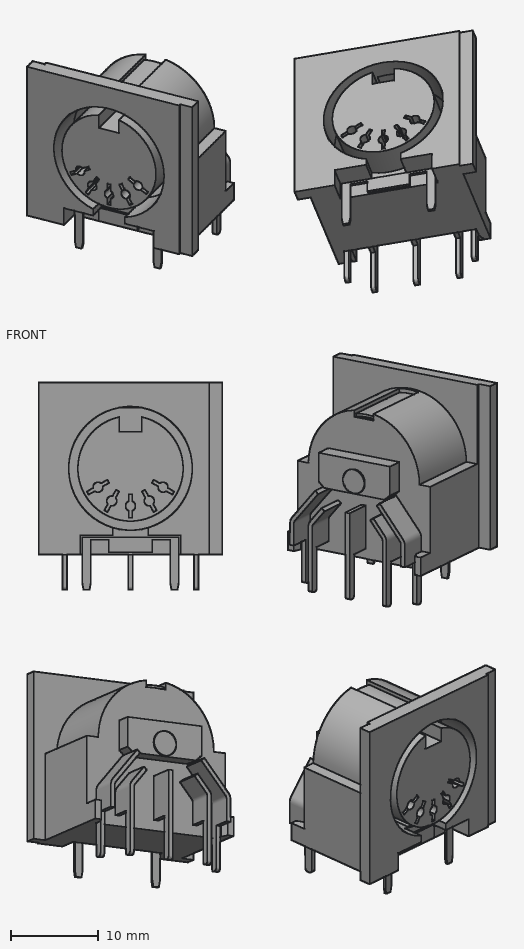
import cadquery as cq
import math


PLATE_WIDTH = 20.9
PLATE_HEIGHT = 19.59
PLATE_DEPTH = 1.85
LEFT_EDGE_DEPTH = 1.46
RIGHT_EDGE_STEP = 0.3

BODY_WIDTH = 17.9
BODY_SIDE_HEIGHT = 10.12
ARCH_RADIUS = 7.48
BODY_REAR = 11.8
REAR_WALL = 0.38

AXIS_HEIGHT = PLATE_HEIGHT / 2
SOCKET_RADIUS = 7.03
PLUG_RADIUS = 6.0
SOCKET_DEPTH = BODY_REAR - REAR_WALL
KEY_WIDTH = 2.55
KEY_FLOOR = 13.95
KEY_WINDOW_FLOOR = 16.7

OPENING_CIRCLE_RADIUS = 4.27
OPENING_ANGLES = [-60, -30, 0, 30, 60]
OPENING_HOLE_RADIUS = 0.57
OPENING_SLOT_LENGTH = 2.7
OPENING_SLOT_WIDTH = 0.4

SHEET = 0.3
SHIELD_FRONT = 2.27
TUBE_FRONT = 4.95
SHIELD_RADIUS = SOCKET_RADIUS + SHEET
BRACKET_WIDTH = 11.0
BRACKET_TOP = 1.98
BRACKET_LEG_WIDTH = 1.0
BRACKET_TAB_WIDTH = 4.95
BRACKET_TAB_BOTTOM = 0.24
LEG_TAPER = 0.15
LEG_TAPER_HEIGHT = 0.75
TONGUE_WIDTH = 2.55
BRACKET_BACK = SHIELD_FRONT + SHEET
NECK_FRONT = BRACKET_BACK + SHEET
NECK_BACK = NECK_FRONT + SHEET

RECESS_WIDTH = 11.47
RECESS_HEIGHT = 2.22
GAP_WIDTH = 4.05

EAR_LENGTH = 2.03
EAR_WIDTH = 1.13
EAR_HEIGHT = 2.22
EAR_CHAMFER_WIDTH = 0.35
EAR_CHAMFER_LENGTH = 0.9
BLOCK_WIDTH = 9.58
BLOCK_TOP = 12.37
BLOCK_SIDE_BOTTOM = 8.9
BLOCK_BOTTOM = 8.28
BLOCK_LENGTH = 2.03
BOSS_RADIUS = 1.45
BOSS_HEIGHT = 0.17

PIN_THICKNESS = 0.52
PIN_REAR = 15.3
PIN_PLATE_BOTTOM = 1.23
PIN_BEND_HEIGHT = 4.25
PIN_SLOPE = 50.0
PIN_BEND_RADIUS = 1.1
PIN_LEG_WIDTH = 1.01
PIN_TIP_RADIUS = 0.38
LEG_LENGTH = 4.01
OUTER_PIN_FACE = 7.75
OUTER_PIN_END = 4.35
INNER_PIN_FACE = 5.26
INNER_PIN_END = 3.47
CENTRE_PIN_THICKNESS = 0.57
CENTRE_PIN_TOP = 6.4


def block(x, y, z):
    """Box from (min, max) pairs along each axis."""
    return cq.Workplane("XY").box(
        x[1] - x[0], y[1] - y[0], z[1] - z[0], centered=False
    ).translate((x[0], y[0], z[0]))


def middle_block(width, y, z):
    """Box centred on the middle plane X = 0."""
    return block((-width / 2, width / 2), y, z)


def cylinder(radius, y, height=AXIS_HEIGHT):
    """Cylinder along Y between the two Y values."""
    return cq.Workplane("XZ", origin=(0, y[0], height)).circle(radius).extrude(y[0] - y[1])


def prism(points, y):
    """X-Z outline extruded between the two Y values."""
    return cq.Workplane("XZ", origin=(0, y[0], 0)).polyline(points).close().extrude(y[0] - y[1])


def make_faceplate():
    half_plate = PLATE_WIDTH / 2
    half_body = BODY_WIDTH / 2
    outline = [
        (-half_plate, 0),
        (half_body, 0),
        (half_body, RIGHT_EDGE_STEP),
        (half_plate, RIGHT_EDGE_STEP),
        (half_plate, PLATE_DEPTH),
        (-half_body, PLATE_DEPTH),
        (-half_body, LEFT_EDGE_DEPTH),
        (-half_plate, LEFT_EDGE_DEPTH),
    ]
    return cq.Workplane("XY").polyline(outline).close().extrude(PLATE_HEIGHT)


def make_body():
    length = (PLATE_DEPTH, BODY_REAR)
    sides = middle_block(BODY_WIDTH, length, (0, BODY_SIDE_HEIGHT))
    arch = cylinder(ARCH_RADIUS, length, BODY_SIDE_HEIGHT)
    return sides.union(arch)


def make_right_ear():
    outside = BODY_WIDTH / 2
    inside = outside - EAR_WIDTH
    rear = BODY_REAR + EAR_LENGTH
    outline = [
        (outside, BODY_REAR),
        (outside, rear),
        (inside + EAR_CHAMFER_WIDTH, rear),
        (inside, rear - EAR_CHAMFER_LENGTH),
        (inside, BODY_REAR),
    ]
    return cq.Workplane("XY").polyline(outline).close().extrude(EAR_HEIGHT)


def make_rear_block():
    half_width = BLOCK_WIDTH / 2
    cut_width = (BLOCK_SIDE_BOTTOM - BLOCK_BOTTOM) * math.tan(math.radians(PIN_SLOPE))
    half_bottom = half_width - cut_width
    outline = [
        (-half_width, BLOCK_TOP),
        (half_width, BLOCK_TOP),
        (half_width, BLOCK_SIDE_BOTTOM),
        (half_bottom, BLOCK_BOTTOM),
        (-half_bottom, BLOCK_BOTTOM),
        (-half_width, BLOCK_SIDE_BOTTOM),
    ]
    rear = BODY_REAR + BLOCK_LENGTH
    boss = cylinder(BOSS_RADIUS, (BODY_REAR, rear + BOSS_HEIGHT))
    return prism(outline, (BODY_REAR, rear)).union(boss)


def make_plug():
    """Core of the socket, with its key slot and contact openings."""
    depth = (0, SOCKET_DEPTH)
    plug = cylinder(PLUG_RADIUS, depth)
    plug = plug.cut(middle_block(KEY_WIDTH, depth, (KEY_FLOOR, PLATE_HEIGHT)))
    opening_height = AXIS_HEIGHT - OPENING_CIRCLE_RADIUS
    slot_height = (
        opening_height - OPENING_SLOT_LENGTH / 2,
        opening_height + OPENING_SLOT_LENGTH / 2,
    )
    opening = cylinder(OPENING_HOLE_RADIUS, depth, opening_height)
    opening = opening.union(middle_block(OPENING_SLOT_WIDTH, depth, slot_height))
    for angle in OPENING_ANGLES:
        plug = plug.cut(opening.rotate((0, 0, AXIS_HEIGHT), (0, 1, AXIS_HEIGHT), angle))
    return plug


def make_shield():
    """Tube lining the socket, with two tongues at the front and a bracket under the lower one."""
    outside = cylinder(SHIELD_RADIUS, (SHIELD_FRONT, SOCKET_DEPTH))
    bore = cylinder(SOCKET_RADIUS, (SHIELD_FRONT, SOCKET_DEPTH))
    tube = cylinder(SHIELD_RADIUS, (TUBE_FRONT, SOCKET_DEPTH))
    top_tongue = outside.intersect(
        middle_block(TONGUE_WIDTH, (SHIELD_FRONT, TUBE_FRONT), (AXIS_HEIGHT, PLATE_HEIGHT))
    )
    lower_tongue = outside.intersect(
        middle_block(TONGUE_WIDTH, (NECK_FRONT, TUBE_FRONT), (0, AXIS_HEIGHT))
    )
    foot_bottom = BRACKET_TOP - SHEET
    neck = middle_block(TONGUE_WIDTH, (NECK_FRONT, NECK_BACK), (foot_bottom, AXIS_HEIGHT))
    foot = middle_block(TONGUE_WIDTH, (BRACKET_BACK, NECK_BACK), (foot_bottom, BRACKET_TOP))
    shield = tube.union(top_tongue).union(lower_tongue).union(neck).cut(bore)
    return shield.union(foot).union(make_bracket())


def make_bracket():
    """Flat plate with a leg at each end and a tab in the middle."""
    thickness = (SHIELD_FRONT, BRACKET_BACK)
    bracket = middle_block(BRACKET_WIDTH, thickness, (BRACKET_TOP - SHEET, BRACKET_TOP))
    bracket = bracket.union(
        middle_block(BRACKET_TAB_WIDTH, thickness, (BRACKET_TAB_BOTTOM, BRACKET_TOP))
    )
    outside = BRACKET_WIDTH / 2
    inside = outside - BRACKET_LEG_WIDTH
    taper_start = LEG_TAPER_HEIGHT - LEG_LENGTH
    leg_outline = [
        (inside, BRACKET_TOP),
        (outside, BRACKET_TOP),
        (outside, taper_start),
        (outside - LEG_TAPER, -LEG_LENGTH),
        (inside + LEG_TAPER, -LEG_LENGTH),
        (inside, taper_start),
    ]
    leg = prism(leg_outline, thickness)
    return bracket.union(leg).union(leg.mirror("YZ"))


def make_housing(shield):
    ear = make_right_ear()
    housing = make_faceplate().union(make_body())
    housing = housing.union(ear).union(ear.mirror("YZ")).union(make_rear_block())
    housing = housing.cut(cylinder(SOCKET_RADIUS, (0, SOCKET_DEPTH)).cut(make_plug()))
    housing = housing.cut(
        middle_block(KEY_WIDTH, (SHIELD_FRONT, BODY_REAR), (KEY_WINDOW_FLOOR, PLATE_HEIGHT))
    )
    housing = housing.cut(middle_block(RECESS_WIDTH, (0, BRACKET_BACK), (0, RECESS_HEIGHT)))
    gap = middle_block(GAP_WIDTH, (0, BRACKET_BACK), (0, AXIS_HEIGHT))
    housing = housing.cut(gap.cut(cylinder(SOCKET_RADIUS, (0, BRACKET_BACK))))
    return housing.cut(shield)


def make_pin_leg(x, y_front):
    leg = block(x, (y_front, y_front + PIN_LEG_WIDTH), (-LEG_LENGTH, PIN_PLATE_BOTTOM))
    return leg.edges("|X and <Z").fillet(PIN_TIP_RADIUS)


def make_bent_pin(face, end, leg_front):
    """Right-hand pin: an upright sheet that bends inwards above, with a leg below."""
    slope = math.radians(PIN_SLOPE)
    inner_face = face - PIN_THICKNESS
    end_height = PIN_BEND_HEIGHT + (face - end) * math.tan(slope)
    inner_bend_drop = PIN_THICKNESS * math.tan((math.pi / 2 - slope) / 2)
    outline = [
        (face, PIN_PLATE_BOTTOM),
        (face, PIN_BEND_HEIGHT),
        (end, end_height),
        (end - PIN_THICKNESS * math.sin(slope), end_height - PIN_THICKNESS * math.cos(slope)),
        (inner_face, PIN_BEND_HEIGHT - inner_bend_drop),
        (inner_face, PIN_PLATE_BOTTOM),
    ]
    sheet = prism(outline, (BODY_REAR, PIN_REAR))
    outer_bend = cq.NearestToPointSelector((face, (BODY_REAR + PIN_REAR) / 2, PIN_BEND_HEIGHT))
    inner_bend = cq.NearestToPointSelector(
        (inner_face, (BODY_REAR + PIN_REAR) / 2, PIN_BEND_HEIGHT - inner_bend_drop)
    )
    sheet = sheet.edges(outer_bend).fillet(PIN_BEND_RADIUS)
    sheet = sheet.edges(inner_bend).fillet(PIN_BEND_RADIUS - PIN_THICKNESS)
    return sheet.union(make_pin_leg((inner_face, face), leg_front))


def make_centre_pin(leg_front):
    half = CENTRE_PIN_THICKNESS / 2
    sheet = middle_block(
        CENTRE_PIN_THICKNESS, (BODY_REAR, PIN_REAR), (PIN_PLATE_BOTTOM, CENTRE_PIN_TOP)
    )
    return sheet.union(make_pin_leg((-half, half), leg_front))


rear_row = PIN_REAR - PIN_LEG_WIDTH
front_row = BODY_REAR

shield = make_shield()
housing = make_housing(shield)
pins = [make_centre_pin(rear_row)]
for face, end, leg_front in [
    (OUTER_PIN_FACE, OUTER_PIN_END, front_row),
    (INNER_PIN_FACE, INNER_PIN_END, rear_row),
]:
    right_pin = make_bent_pin(face, end, leg_front)
    pins.append(right_pin)
    pins.append(right_pin.mirror("YZ"))

result = cq.Compound.makeCompound(
    [body.solids().val() for body in [housing, shield, *pins]]
)